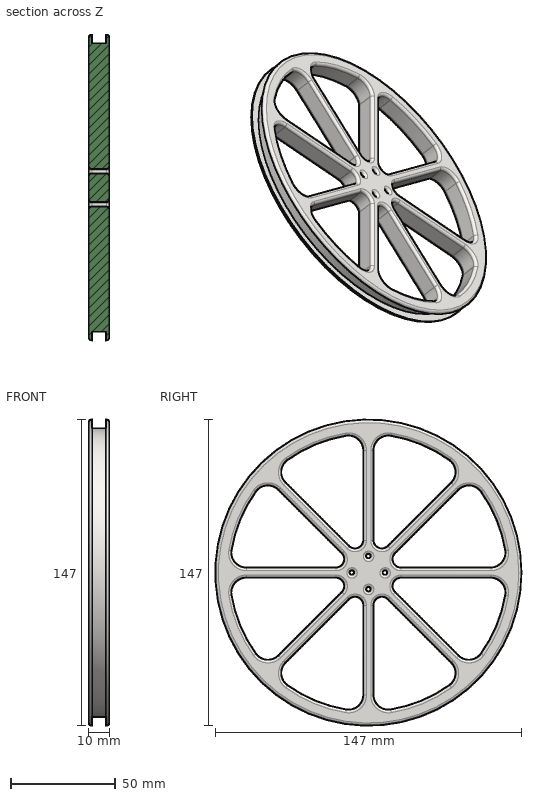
import cadquery as cq
import math

outer_diameter = 147.0
width = 10.0
edge_round = 1.5

groove_width = 6.6
groove_depth = 4.1

spoke_count = 8
spoke_width = 5.0
rim_thickness = 7.0
rim_corner_radius = 7.0
hub_corner_radius = 4.0

hole_count = 4
hole_diameter = 2.0
hole_circle_radius = 8.0

outer_radius = outer_diameter / 2
window_radius = outer_radius - rim_thickness
spoke_pitch = 360 / spoke_count


def polar(radius, angle):
    return (radius * math.cos(angle), radius * math.sin(angle))


def shifted(point, distance, angle):
    step = polar(distance, angle)
    return (point[0] + step[0], point[1] + step[1])


def mirrored(point):
    return (point[0], -point[1])


def centred_plane(thickness):
    """Starting plane for an extrusion along +X that ends up centred on X = 0."""
    return cq.Workplane("YZ", origin=(-thickness / 2, 0, 0))


def centred_disc(radius, thickness):
    return centred_plane(thickness).circle(radius).extrude(thickness)


def make_groove():
    floor = centred_disc(outer_radius - groove_depth, groove_width)
    return centred_disc(outer_radius, groove_width).cut(floor)


def make_window():
    """Window centred on the +Y direction, with a full round at the hub and two rim corners."""
    half_angle = math.radians(spoke_pitch / 2)
    toward_spoke = half_angle + math.pi / 2

    hub_centre_radius = (spoke_width / 2 + hub_corner_radius) / math.sin(half_angle)
    hub_tangent = shifted((hub_centre_radius, 0), hub_corner_radius, toward_spoke)
    hub_middle = (hub_centre_radius - hub_corner_radius, 0)

    corner_centre_radius = window_radius - rim_corner_radius
    corner_offset = math.asin((spoke_width / 2 + rim_corner_radius) / corner_centre_radius)
    corner_angle = half_angle - corner_offset
    corner_centre = polar(corner_centre_radius, corner_angle)
    spoke_tangent = shifted(corner_centre, rim_corner_radius, toward_spoke)
    corner_middle = shifted(corner_centre, rim_corner_radius, (corner_angle + toward_spoke) / 2)
    rim_tangent = polar(window_radius, corner_angle)

    return (
        centred_plane(width)
        .moveTo(*hub_tangent)
        .lineTo(*spoke_tangent)
        .threePointArc(corner_middle, rim_tangent)
        .threePointArc((window_radius, 0), mirrored(rim_tangent))
        .threePointArc(mirrored(corner_middle), mirrored(spoke_tangent))
        .lineTo(*mirrored(hub_tangent))
        .threePointArc(hub_middle, hub_tangent)
        .close()
        .extrude(width)
    )


def make_hub_holes():
    return (
        centred_plane(width)
        .polarArray(hole_circle_radius, 0, 360, hole_count)
        .circle(hole_diameter / 2)
        .extrude(width)
    )


wheel = centred_disc(outer_radius, width).cut(make_hub_holes())

window = make_window()
for index in range(spoke_count):
    turn = (index + 0.5) * spoke_pitch
    wheel = wheel.cut(window.rotate((0, 0, 0), (1, 0, 0), turn))

wheel = wheel.faces("<X or >X").edges().fillet(edge_round)

result = wheel.cut(make_groove())